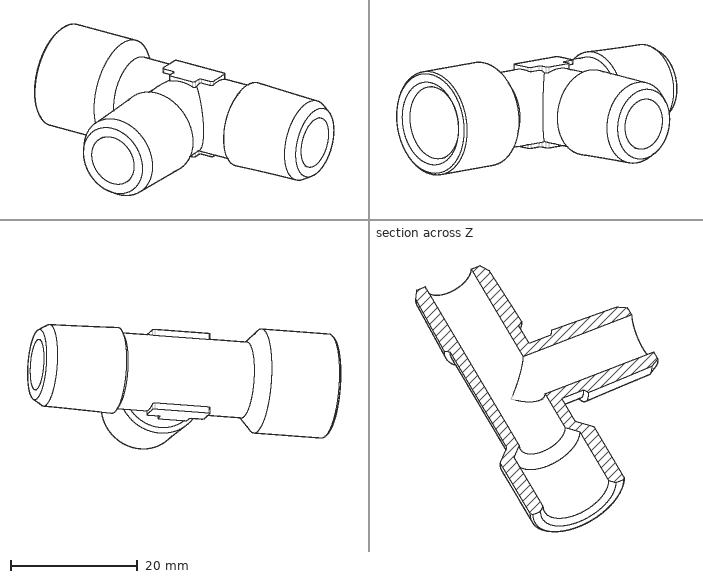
import cadquery as cq

overall_length = 47.5
spigot_reach = 23.0
socket_reach = overall_length - spigot_reach
tube_radius = 12.0 / 2
bore_radius = 8.0 / 2

socket_radius = 16.5 / 2
socket_length = 11.4
socket_edge_chamfer = 0.35
socket_bore_radius = 11.45 / 2
socket_mouth_radius = 13.15 / 2
socket_bore_depth = 11.4

spigot_start = 9.8
spigot_large_radius = 6.8
spigot_small_radius = 6.45
spigot_tip_radius = 5.55
spigot_back_length = 0.48
spigot_tip_length = 1.5

pad_height = 6.5
pad_half_width = 4.7
pad_stem_half_width = 2.38
pad_back = 2.4
pad_shoulder = -1.45
pad_front = -3.15
pad_corner_radius = 0.35


def revolve_about_x(points):
    """Revolve a closed (x, radius) profile about the X axis."""
    return cq.Workplane("XY").polyline(points).close().revolve(360, (0, 0, 0), (1, 0, 0))


def male_arm():
    """Solid tube with a tapered spigot, pointing to +X."""
    return revolve_about_x([
        (0, 0),
        (0, tube_radius),
        (spigot_start, tube_radius),
        (spigot_start + spigot_back_length, spigot_large_radius),
        (spigot_reach - spigot_tip_length, spigot_small_radius),
        (spigot_reach, spigot_tip_radius),
        (spigot_reach, 0),
    ])


def socket_arm():
    """Solid tube with a conical shoulder and a socket body, pointing to -X."""
    shoulder = -socket_reach + socket_length
    shoulder_length = socket_radius - tube_radius
    return revolve_about_x([
        (0, 0),
        (0, tube_radius),
        (shoulder + shoulder_length, tube_radius),
        (shoulder, socket_radius),
        (-socket_reach + socket_edge_chamfer, socket_radius),
        (-socket_reach, socket_radius - socket_edge_chamfer),
        (-socket_reach, 0),
    ])


def socket_cavity():
    """Countersunk socket bore that narrows through a cone to the main bore."""
    countersink_depth = socket_mouth_radius - socket_bore_radius
    cone_start = -socket_reach + socket_bore_depth
    cone_length = socket_bore_radius - bore_radius
    return revolve_about_x([
        (-socket_reach, 0),
        (-socket_reach, socket_mouth_radius),
        (-socket_reach + countersink_depth, socket_bore_radius),
        (cone_start, socket_bore_radius),
        (cone_start + cone_length, bore_radius),
        (cone_start + cone_length, 0),
    ])


def pads():
    """T-shaped block through the tee whose two ends form the pads."""
    return (
        cq.Workplane("XY")
        .workplane(offset=-pad_height)
        .polyline([
            (-pad_half_width, pad_back),
            (pad_half_width, pad_back),
            (pad_half_width, pad_shoulder),
            (pad_stem_half_width, pad_shoulder),
            (pad_stem_half_width, pad_front),
            (-pad_stem_half_width, pad_front),
            (-pad_stem_half_width, pad_shoulder),
            (-pad_half_width, pad_shoulder),
        ])
        .close()
        .extrude(2 * pad_height)
        .edges("|Z")
        .fillet(pad_corner_radius)
    )


branch_arm = male_arm().rotate((0, 0, 0), (0, 0, 1), -90)
body = socket_arm().union(male_arm()).union(branch_arm).union(pads())

run_bore = cq.Workplane("YZ").workplane(offset=-socket_reach).circle(bore_radius).extrude(overall_length)
branch_bore = cq.Workplane("XZ").circle(bore_radius).extrude(spigot_reach)

result = body.cut(run_bore).cut(branch_bore).cut(socket_cavity())